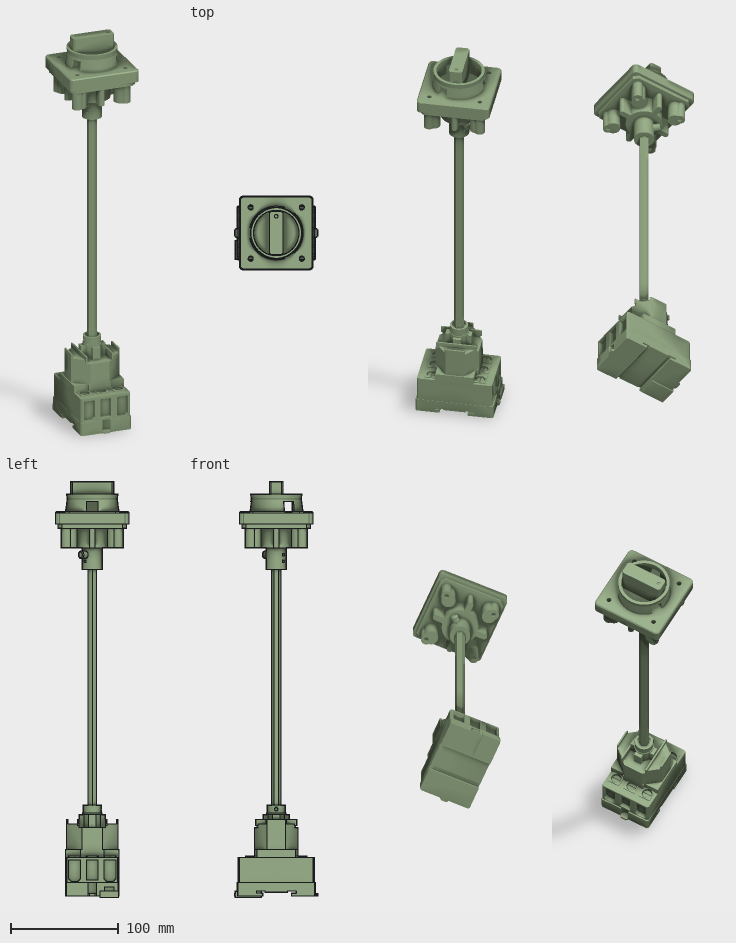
import cadquery as cq
import math


total_height = 385.56
shaft_flats = 8.0
shaft_corners = shaft_flats / math.cos(math.pi / 6)
shaft_foot_z = 64.8
quarter_turns = [0, 90, 180, 270]

knob_width = 12.7
knob_length = 40.13
knob_projection = 11.6
knob_corner_chamfer = 1.6
pointer_dia = 3.3
pointer_y = 15.5
pointer_depth = 1.0
dial_top_z = total_height - knob_projection
dial_height = 16.4
dial_band_height = 4.6
dial_bore_dia = 42.04
dial_top_radius = 23.8
dial_waist_radius = 23.3
dial_foot_radius = 24.9
padlock_window_width = 10.4
padlock_window_height = 9.3
padlock_window_angles = [60, 180, 300]

plate_size = 68.58
plate_thickness = 11.5
plate_top_z = dial_top_z - dial_height
plate_bottom_z = plate_top_z - plate_thickness
plate_corner_radius = 4.0
plate_top_chamfer = 1.0
seal_size = 63.8
seal_thickness = 3.9
seal_corner_chamfer = 4.0
seal_bottom_z = plate_bottom_z - seal_thickness
screw_spacing = 47.6
screw_hole_dia = 4.39
lug_height = 18.2
lug_bottom_z = seal_bottom_z - lug_height
post_dia = 9.91
post_root_dia = 13.16
post_root_offset = 20.5
hub_dia = 34.0
pillar_dia = 5.4
pillar_offset = 24.3

collar_dia = 18.92
collar_height = 20.0
collar_bottom_z = lug_bottom_z - collar_height
collar_hole_dia = 2.54
collar_hole_drops = [6.3, 12.4]
clamp_screw_dia = 7.06
clamp_screw_reach = 15.5
clamp_screw_chamfer = 1.0
clamp_screw_angle = 135

slider_drop = 1.2
base_length = 73.2
block_length = 70.8
switch_width = 50.0
block_width = 49.4
corner_chamfer = 1.3
base_top_z = 13.9
block_top_z = 37.3
tab_reach = 77.3 / 2
tab_width = 8.0
tab_thickness = 2.3
tab_chamfer = 1.4
rail_left = -12.5
rail_right = 14.0
rail_ceiling_z = 4.7
rail_groove_bottom_z = 4.0
rail_groove_top_z = 5.9
rail_groove_inner = 10.5
rail_groove_outer = 18.5
slider_left = -38.2
slider_right = -13.9
slider_width = 17.4
slider_y = -15.7
slider_height = 6.0
slider_pocket_width = 8.5
slider_pocket_top_z = 9.7
slider_pocket_depth = 2.0
pole_pitch = 16.4
entry_width = 11.0
entry_top_z = 34.8
entry_bottom_z = 14.8
entry_corner = 2.5
entry_depth = 4.0
centre_entry_width = 10.4
centre_entry_bottom_z = 16.2
release_groove_dia = 8.0
release_groove_bottom_z = 3.5
terminal_pad_size = 11.4
terminal_pad_height = 1.0
terminal_x = 22.9
terminal_hole_dia = 9.91
terminal_hole_depth = 4.0
terminal_screw_dia = 8.0
terminal_screw_height = 2.5
terminal_slot_width = 1.4
terminal_slot_depth = 1.0

step_top_z = 44.4
step_length = 36.0
step_neck_width = 22.0
tower_half_x = 20.3
tower_half_y = 24.0
tower_face_half_x = 8.4
tower_face_half_y = 9.4
tower_floor_z = 64.8
shoulder_z = 68.3
wall_top_z = 72.4
wall_thickness = 1.4
wing_length = 38.4
wing_y = 12.9
wing_bottom_z = 66.6
boss_top_z = 76.8
boss_reach = 12.2
boss_arm_width = 7.4
socket_collar_dia = 16.97
socket_collar_top_z = 85.7
socket_bore_dia = 13.15
socket_bore_depth = 2.0
socket_ring_dia = 18.0
socket_ring_height = 1.7
socket_screw_dia = 3.3
socket_screw_z = 81.8
socket_screw_depth = 3.0


def block(x_min, x_max, y_min, y_max, z_min, z_max):
    """Upright box between two opposite corners."""
    size = (x_max - x_min, y_max - y_min, z_max - z_min)
    return cq.Workplane("XY").box(*size, centered=False).translate((x_min, y_min, z_min))


def centred_block(length, width, z_min, z_max):
    """Upright box centred on the shaft axis."""
    return block(-length / 2, length / 2, -width / 2, width / 2, z_min, z_max)


def cylinder(dia, z_min, z_max, x=0, y=0):
    """Upright cylinder."""
    return cq.Workplane("XY", origin=(x, y, z_min)).circle(dia / 2).extrude(z_max - z_min)


def spun(shape, angle):
    """Copy of a shape turned about the shaft axis."""
    return shape.rotate((0, 0, 0), (0, 0, 1), angle)


def radial_rod(dia, start, end, z, angle):
    """Horizontal cylinder lying along a radius of the shaft axis."""
    rod = cq.Workplane("YZ", origin=(start, 0, z)).circle(dia / 2).extrude(end - start)
    return spun(rod, angle)


def hexagonal_shaft(z_min, z_max):
    """Hexagonal prism with two corners on the X axis."""
    return cq.Workplane("XY", origin=(0, 0, z_min)).polygon(6, shaft_corners).extrude(z_max - z_min)


def make_dial():
    """Waisted ring around the knob with three radial padlock windows."""
    waist_z = dial_top_z - dial_band_height
    bore_radius = dial_bore_dia / 2
    dial = (
        cq.Workplane("XZ")
        .moveTo(bore_radius, plate_top_z)
        .lineTo(dial_foot_radius, plate_top_z)
        .lineTo(dial_waist_radius, waist_z)
        .lineTo(dial_top_radius, dial_top_z)
        .lineTo(bore_radius, dial_top_z)
        .close()
        .revolve(360, (0, 0, 0), (0, 1, 0))
    )
    window = block(
        0, dial_foot_radius, -padlock_window_width / 2, padlock_window_width / 2,
        plate_top_z, plate_top_z + padlock_window_height,
    )
    for angle in padlock_window_angles:
        dial = dial.cut(spun(window, angle))
    return dial


def make_knob():
    """Grip bar standing on the plate, with a pointer dimple near its +Y end."""
    knob = centred_block(knob_width, knob_length, plate_top_z, total_height)
    knob = knob.edges("|Z").chamfer(knob_corner_chamfer)
    return knob.cut(cylinder(pointer_dia, total_height - pointer_depth, total_height, 0, pointer_y))


def make_plate():
    """Square front plate with the smaller seal step under it."""
    plate = centred_block(plate_size, plate_size, plate_bottom_z, plate_top_z)
    plate = plate.edges("|Z").fillet(plate_corner_radius)
    plate = plate.faces(">Z").edges().chamfer(plate_top_chamfer)
    seal = centred_block(seal_size, seal_size, seal_bottom_z, plate_bottom_z)
    return plate.union(seal.edges("|Z").chamfer(seal_corner_chamfer))


def make_lugs():
    """Hub with a rooted corner post and a pillar in every quarter."""
    lugs = cylinder(hub_dia, lug_bottom_z, seal_bottom_z)
    post_offset = screw_spacing / 2
    post = cylinder(post_dia, lug_bottom_z, seal_bottom_z, -post_offset, -post_offset)
    post_root = cylinder(
        post_root_dia, lug_bottom_z, seal_bottom_z, -post_root_offset, -post_root_offset
    )
    pillar = cylinder(pillar_dia, lug_bottom_z, seal_bottom_z, 0, -pillar_offset)
    pillar_root = block(
        -pillar_dia / 2, pillar_dia / 2, -pillar_offset, 0, lug_bottom_z, seal_bottom_z
    )
    quarter = post.union(post_root).union(pillar).union(pillar_root)
    for angle in quarter_turns:
        lugs = lugs.union(spun(quarter, angle))
    return lugs


def make_clamp_collar():
    """Collar that grips the shaft, with cross holes and a clamping screw."""
    collar = cylinder(collar_dia, collar_bottom_z, lug_bottom_z)
    for drop in collar_hole_drops:
        hole = radial_rod(
            collar_hole_dia, shaft_corners / 2, collar_dia, lug_bottom_z - drop, clamp_screw_angle
        )
        collar = collar.cut(hole).cut(spun(hole, 180))
    screw_z = lug_bottom_z - collar_hole_drops[0]
    screw = (
        cq.Workplane("YZ", origin=(shaft_corners / 2, 0, screw_z))
        .circle(clamp_screw_dia / 2)
        .extrude(clamp_screw_reach - shaft_corners / 2)
        .faces(">X")
        .chamfer(clamp_screw_chamfer)
    )
    return collar.union(spun(screw, clamp_screw_angle))


def make_handle():
    """Knob, dial, plate, lugs, collar and shaft as one body."""
    body = make_plate().union(make_lugs()).union(make_dial()).union(make_knob())
    for x_side in (-1, 1):
        for y_side in (-1, 1):
            x = x_side * screw_spacing / 2
            y = y_side * screw_spacing / 2
            body = body.cut(cylinder(screw_hole_dia, lug_bottom_z, plate_top_z, x, y))
    return body.union(make_clamp_collar()).union(hexagonal_shaft(shaft_foot_z, lug_bottom_z))


def make_base():
    """Lower base with the rail slot, end tabs and release grooves."""
    base = centred_block(base_length, switch_width, slider_drop, base_top_z)
    base = base.edges("|Z").chamfer(corner_chamfer)
    tabs = centred_block(2 * tab_reach, tab_width, slider_drop, slider_drop + tab_thickness)
    base = base.union(tabs.edges("|Z").chamfer(tab_chamfer))
    half_width = switch_width / 2
    base = base.cut(block(rail_left, rail_right, -half_width, half_width, 0, rail_ceiling_z))
    groove = block(
        rail_groove_inner, rail_groove_outer, -half_width, half_width,
        rail_groove_bottom_z, rail_groove_top_z,
    )
    for angle in (0, 180):
        base = base.cut(spun(groove, angle))
    for side in (-1, 1):
        release = cylinder(
            release_groove_dia, release_groove_bottom_z, base_top_z, side * base_length / 2
        )
        base = base.cut(release)
    return base


def add_slider(base):
    """Rail slider under the -X end, with the small pocket above it."""
    slider = block(
        slider_left, slider_right, slider_y - slider_width / 2, slider_y + slider_width / 2,
        0, slider_height,
    )
    pocket = block(
        -base_length / 2, slider_pocket_depth - base_length / 2,
        slider_y - slider_pocket_width / 2, slider_y + slider_pocket_width / 2,
        slider_height, slider_pocket_top_z,
    )
    return base.cut(pocket).union(slider)


def entry_pocket(y, width, bottom_z, corner):
    """Cable entry cut into an end of the block, with its two lower corners cut off."""
    half = width / 2
    outline = [
        (y - half, entry_top_z),
        (y - half, bottom_z + corner),
        (y - half + corner, bottom_z),
        (y + half - corner, bottom_z),
        (y + half, bottom_z + corner),
        (y + half, entry_top_z),
    ]
    inner_x = block_length / 2 - entry_depth
    return cq.Workplane("YZ", origin=(inner_x, 0, 0)).polyline(outline).close().extrude(entry_depth)


def centre_entry():
    """Plain rectangular pocket in the middle of an end of the block."""
    half = centre_entry_width / 2
    end_x = block_length / 2
    return block(end_x - entry_depth, end_x, -half, half, centre_entry_bottom_z, entry_top_z)


def add_terminal(body, x, y):
    """Raised pad with a recessed slotted terminal screw."""
    pad_top_z = block_top_z + terminal_pad_height
    half = terminal_pad_size / 2
    body = body.union(block(x - half, x + half, y - half, y + half, block_top_z, pad_top_z))
    floor_z = pad_top_z - terminal_hole_depth
    screw_top_z = floor_z + terminal_screw_height
    half_slot = terminal_slot_width / 2
    radius = terminal_screw_dia / 2
    slot = block(
        x - half_slot, x + half_slot, y - radius, y + radius,
        screw_top_z - terminal_slot_depth, screw_top_z,
    )
    screw = cylinder(terminal_screw_dia, floor_z, screw_top_z, x, y).cut(slot)
    return body.cut(cylinder(terminal_hole_dia, floor_z, pad_top_z, x, y)).union(screw)


def make_terminal_block():
    """Terminal block with three poles at each end."""
    body = centred_block(block_length, block_width, base_top_z, block_top_z)
    body = body.edges("|Z").chamfer(corner_chamfer)
    for side in (-1, 1):
        for pole in (-1, 0, 1):
            body = add_terminal(body, side * terminal_x, pole * pole_pitch)
    entries = centre_entry()
    for pole in (-1, 1):
        entries = entries.union(
            entry_pocket(pole * pole_pitch, entry_width, entry_bottom_z, entry_corner)
        )
    for angle in (0, 180):
        body = body.cut(spun(entries, angle))
    return body


def make_tower():
    """Eight-sided tower on a cross-shaped step, with shoulders and upright walls."""
    step = centred_block(step_length, switch_width, block_top_z, step_top_z)
    neck = centred_block(2 * tower_half_x, step_neck_width, block_top_z, step_top_z)
    corners = [(tower_face_half_x, tower_half_y), (tower_half_x, tower_face_half_y)]
    outline = (
        corners
        + [(x, -y) for x, y in reversed(corners)]
        + [(-x, -y) for x, y in corners]
        + [(-x, y) for x, y in reversed(corners)]
    )
    tower = (
        cq.Workplane("XY", origin=(0, 0, step_top_z))
        .polyline(outline)
        .close()
        .extrude(wall_top_z - step_top_z)
    )
    lowered = 2 * (tower_half_y - wall_thickness)
    inner_width = 2 * (wing_y - wall_thickness / 2)
    tower = tower.cut(centred_block(2 * tower_half_x, lowered, shoulder_z, wall_top_z))
    tower = tower.cut(centred_block(2 * tower_half_x, inner_width, tower_floor_z, wall_top_z))
    wing = block(
        -wing_length / 2, wing_length / 2, wing_y - wall_thickness / 2, wing_y + wall_thickness / 2,
        wing_bottom_z, wall_top_z,
    )
    return step.union(neck).union(tower).union(wing).union(spun(wing, 180))


def make_socket():
    """Cross-shaped boss and collar that take the foot of the shaft."""
    socket = cylinder(socket_collar_dia, tower_floor_z, socket_collar_top_z)
    for angle in (0, 90):
        arm = centred_block(2 * boss_reach, boss_arm_width, tower_floor_z, boss_top_z)
        socket = socket.union(spun(arm, angle))
    socket = socket.union(cylinder(socket_ring_dia, boss_top_z, boss_top_z + socket_ring_height))
    bore = cylinder(socket_bore_dia, socket_collar_top_z - socket_bore_depth, socket_collar_top_z)
    collar_radius = socket_collar_dia / 2
    screw_hole = radial_rod(
        socket_screw_dia, collar_radius - socket_screw_depth, collar_radius, socket_screw_z, -90
    )
    return socket.cut(bore).cut(screw_hole)


def make_switch():
    """Base, terminal block, tower and socket as one body with a hexagonal shaft hole."""
    body = add_slider(make_base()).union(make_terminal_block())
    body = body.union(make_tower()).union(make_socket())
    return body.cut(hexagonal_shaft(shaft_foot_z, socket_collar_top_z))


handle = make_handle()
switch = make_switch()

result = cq.Compound.makeCompound([handle.val(), switch.val()])